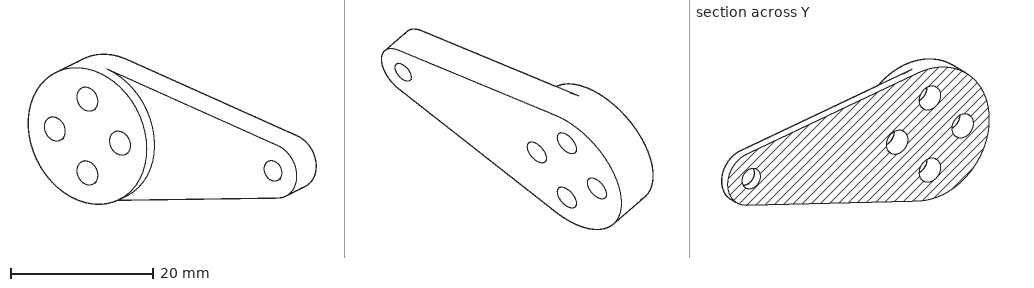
import cadquery as cq
import math

total_length = 44.0
hub_diameter = 20.0
hub_thickness = 7.0
arm_thickness = 5.0
tip_radius = 4.0

hub_hole_diameter = 3.5
hub_hole_circle_radius = 5.5
hub_hole_count = 4
tip_hole_diameter = 3.0

hub_radius = hub_diameter / 2
tip_x = total_length - hub_radius - tip_radius
tangent_cos = (hub_radius - tip_radius) / tip_x
tangent_sin = math.sqrt(1 - tangent_cos**2)


def back_plane():
    """Sketch plane on the shared back face (Y = 0), facing -Y."""
    return cq.Workplane("XZ")


def make_hub():
    return back_plane().circle(hub_radius).extrude(hub_thickness)


def make_arm():
    """Tapered arm whose straight edges are tangent to the hub and to the rounded tip."""
    hub_tangent_x = hub_radius * tangent_cos
    hub_tangent_z = hub_radius * tangent_sin
    tip_tangent_x = tip_x + tip_radius * tangent_cos
    tip_tangent_z = tip_radius * tangent_sin
    return (
        back_plane()
        .moveTo(hub_tangent_x, -hub_tangent_z)
        .lineTo(tip_tangent_x, -tip_tangent_z)
        .threePointArc((tip_x + tip_radius, 0), (tip_tangent_x, tip_tangent_z))
        .lineTo(hub_tangent_x, hub_tangent_z)
        .threePointArc((-hub_radius, 0), (hub_tangent_x, -hub_tangent_z))
        .close()
        .extrude(arm_thickness)
    )


def make_holes():
    """Through-hole cutters: a ring in the hub and one at the arm tip."""
    hub_holes = (
        back_plane()
        .polarArray(hub_hole_circle_radius, 0, 360, hub_hole_count)
        .circle(hub_hole_diameter / 2)
        .extrude(hub_thickness)
    )
    tip_hole = back_plane().center(tip_x, 0).circle(tip_hole_diameter / 2).extrude(arm_thickness)
    return hub_holes.add(tip_hole).combine()


result = make_hub().union(make_arm()).cut(make_holes())